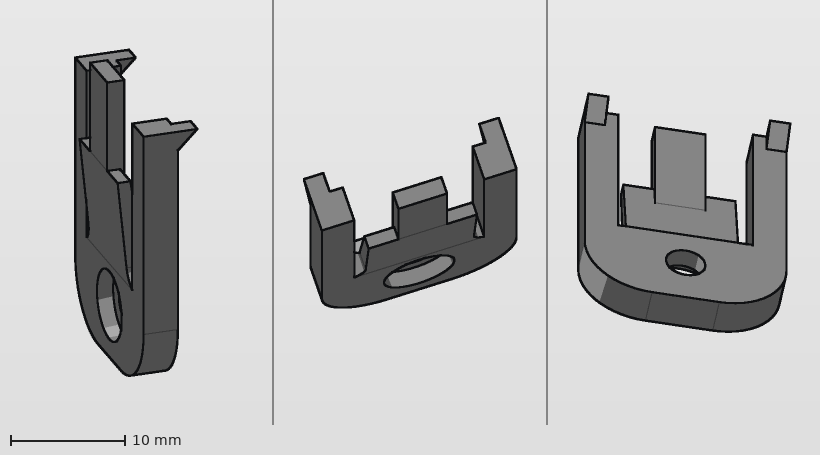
import cadquery as cq
import math

plate_width = 18.0
plate_thickness = 3.2
plate_height = 25.0
corner_radius = 6.0
half_width = plate_width / 2

arm_width = 3.0
slot_floor = 9.0
slot_width = plate_width - 2 * arm_width

hole_height = 5.0
hole_diameter = 3.5
counterbore_diameter = 6.5
counterbore_depth = 1.5

catch_reach = 1.8
catch_width = 1.8

flap_width = 10.0
flap_top = 19.0
flap_overhang = 1.0
flap_tip_thickness = 1.2
flap_root_thickness = 1.8
flap_tip_back = flap_tip_thickness - flap_overhang
root_fillet_radius = 2.0

tab_width = 4.5
tab_thickness = 1.6
tab_top = 27.5


def front_box(width, y_front, y_back, z_bottom, z_top):
    """Box centred on x = 0 between the given Y and Z limits."""
    depth = y_back - y_front
    height = z_top - z_bottom
    box = cq.Workplane("XY").box(width, depth, height, centered=(True, False, False))
    return box.translate((0, y_front, z_bottom))


def make_plate():
    plate = front_box(plate_width, 0, plate_thickness, 0, plate_height)
    plate = plate.edges("|Y and <Z").fillet(corner_radius)
    return plate.cut(front_box(slot_width, 0, plate_thickness, slot_floor, plate_height))


def make_screw_hole():
    """Tool body for the through hole and its counterbore."""
    axis_start = cq.Workplane("XZ").center(0, hole_height)
    hole = axis_start.circle(hole_diameter / 2).extrude(-plate_thickness)
    counterbore = axis_start.circle(counterbore_diameter / 2).extrude(-counterbore_depth)
    return hole.union(counterbore)


def make_catch(x_start):
    return (
        cq.Workplane("YZ", origin=(x_start, 0, 0))
        .moveTo(plate_thickness, plate_height)
        .lineTo(plate_thickness + catch_reach, plate_height)
        .lineTo(plate_thickness, plate_height - catch_reach)
        .close()
        .extrude(catch_width)
    )


def root_fillet(root, edge, lean):
    """Tangent point and midpoint of a concave arc at the flap's root, as (distance, z) pairs.

    The flap face rises from the slot floor at `root`, leaning away from `edge` by `lean` radians.
    The arc is tangent to this face. The floor is narrower than the radius, so the arc ends on the
    floor's outer edge at `edge` without becoming level.
    """
    radius = root_fillet_radius
    gap = edge - root
    edge_to_center = radius - gap * math.cos(lean)
    rise = math.sqrt(radius**2 - edge_to_center**2) - gap * math.sin(lean)
    tangent = (root - rise * math.sin(lean), slot_floor + rise * math.cos(lean))
    center = (tangent[0] + radius * math.cos(lean), tangent[1] + radius * math.sin(lean))

    chord_x = (tangent[0] + edge) / 2 - center[0]
    chord_z = (tangent[1] + slot_floor) / 2 - center[1]
    stretch = radius / math.hypot(chord_x, chord_z)
    middle = (center[0] + chord_x * stretch, center[1] + chord_z * stretch)
    return tangent, middle


def make_flap_section():
    """Side section of the flap across the full slot, with the concave fillet behind its root."""
    lean = math.atan2(flap_root_thickness - flap_tip_back, flap_top - slot_floor)
    tangent, middle = root_fillet(flap_root_thickness, plate_thickness, lean)
    return (
        cq.Workplane("YZ", origin=(-slot_width / 2, 0, 0))
        .moveTo(0, slot_floor)
        .lineTo(-flap_overhang, flap_top)
        .lineTo(flap_tip_back, flap_top)
        .lineTo(*tangent)
        .threePointArc(middle, (plate_thickness, slot_floor))
        .close()
        .extrude(slot_width)
    )


def make_side_cutter():
    """Clearance between the flap and the +X arm, above the fillet at the flap's root."""
    flap_side = flap_width / 2
    arm_side = slot_width / 2
    tangent, middle = root_fillet(flap_side, arm_side, 0)
    return (
        cq.Workplane("XZ", origin=(0, -flap_overhang, 0))
        .moveTo(flap_side, flap_top)
        .lineTo(*tangent)
        .threePointArc(middle, (arm_side, slot_floor))
        .lineTo(arm_side, flap_top)
        .close()
        .extrude(-(flap_overhang + plate_thickness))
    )


def make_flap():
    cutter = make_side_cutter()
    return make_flap_section().cut(cutter).cut(cutter.mirror("YZ"))


def make_tab():
    """Tab whose back stands proud of the flap tip and runs down into the flap's leaning back face."""
    tab_back = tab_thickness - flap_overhang
    back_slope = (flap_top - slot_floor) / (flap_root_thickness - flap_tip_back)
    foot_z = flap_top - (tab_back - flap_tip_back) * back_slope
    tab = front_box(tab_width, -flap_overhang, tab_back, flap_top, tab_top)
    return tab.union(front_box(tab_width, 0, tab_back, foot_z, flap_top))


result = make_plate().cut(make_screw_hole())
for catch_start in (-half_width, half_width - catch_width):
    result = result.union(make_catch(catch_start))
result = result.union(make_flap()).union(make_tab())